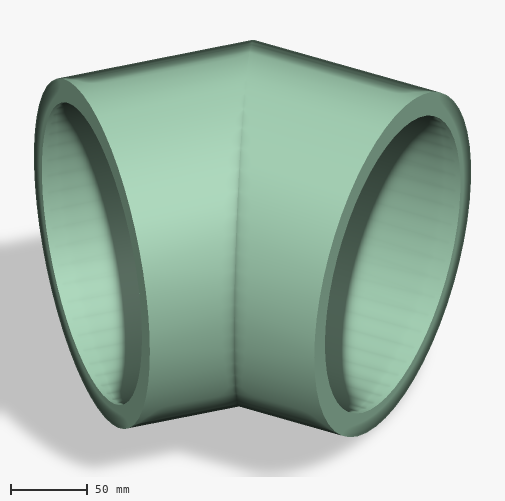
import cadquery as cq
import math

overall_width = 273.0
outer_diameter = 232.0
wall = 15.8
bend_angle = 45.0

outer_radius = outer_diameter / 2
inner_radius = outer_radius - wall
bend = math.radians(bend_angle)

short_side = (overall_width - outer_diameter) / math.sin(bend)
leg_length = short_side + outer_radius * math.tan(bend / 2)

first_axis = cq.Vector(0, 1, 0)
second_axis = cq.Vector(math.sin(bend), math.cos(bend), 0)
corner = first_axis * leg_length
far_end = corner + second_axis * leg_length


def swept_bend(radius):
    """Solid round bar following both legs, with a sharp mitre at the corner."""
    path = cq.Workplane("XY").polyline([(0, 0), (corner.x, corner.y), (far_end.x, far_end.y)])
    section = cq.Workplane(cq.Plane(origin=(0, 0, 0), xDir=(1, 0, 0), normal=first_axis.toTuple()))
    return section.circle(radius).sweep(path, transition="right")


result = swept_bend(outer_radius).cut(swept_bend(inner_radius))